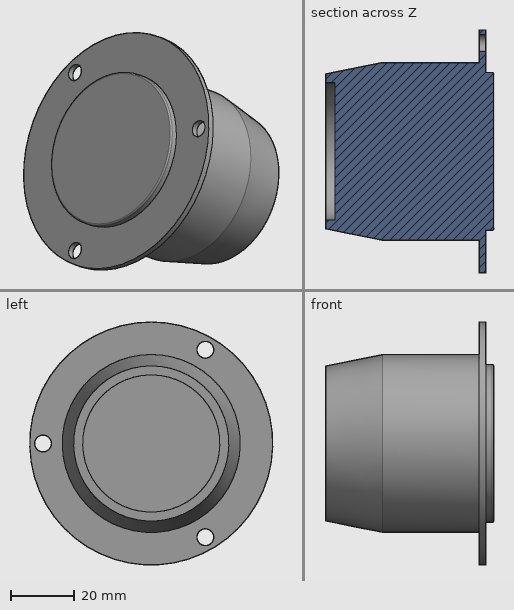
import cadquery as cq

flange_radius = 38.5
flange_thickness = 2.15
body_radius = 28.2
body_length = 30.6
nose_length = 18.0
nose_end_radius = 24.6
window_radius = 21.7
window_depth = 2.9
spigot_radius = 25.0
spigot_length = 2.5
spigot_fillet = 0.5
hole_diameter = 5.2
hole_circle_radius = 34.3
hole_count = 3

body_start = nose_length
flange_start = body_start + body_length
flange_end = flange_start + flange_thickness
spigot_end = flange_end + spigot_length


def revolved_housing():
    """Nose, body, flange and spigot, with the shallow round window in the nose."""
    half_profile = (
        cq.Workplane("XZ")
        .moveTo(window_depth, 0)
        .lineTo(window_depth, window_radius)
        .lineTo(0, window_radius)
        .lineTo(0, nose_end_radius)
        .lineTo(body_start, body_radius)
        .lineTo(flange_start, body_radius)
        .lineTo(flange_start, flange_radius)
        .lineTo(flange_end, flange_radius)
        .lineTo(flange_end, spigot_radius)
        .lineTo(spigot_end - spigot_fillet, spigot_radius)
        .tangentArcPoint((spigot_end, spigot_radius - spigot_fillet), relative=False)
        .lineTo(spigot_end, 0)
        .close()
    )
    return half_profile.revolve(360, (0, 0, 0), (1, 0, 0))


def flange_holes():
    """Evenly spaced mounting holes through the flange, the first one on +Y."""
    return (
        cq.Workplane("YZ")
        .workplane(offset=flange_start)
        .polarArray(hole_circle_radius, 0, 360, hole_count)
        .circle(hole_diameter / 2)
        .extrude(flange_thickness)
    )


result = revolved_housing().cut(flange_holes())